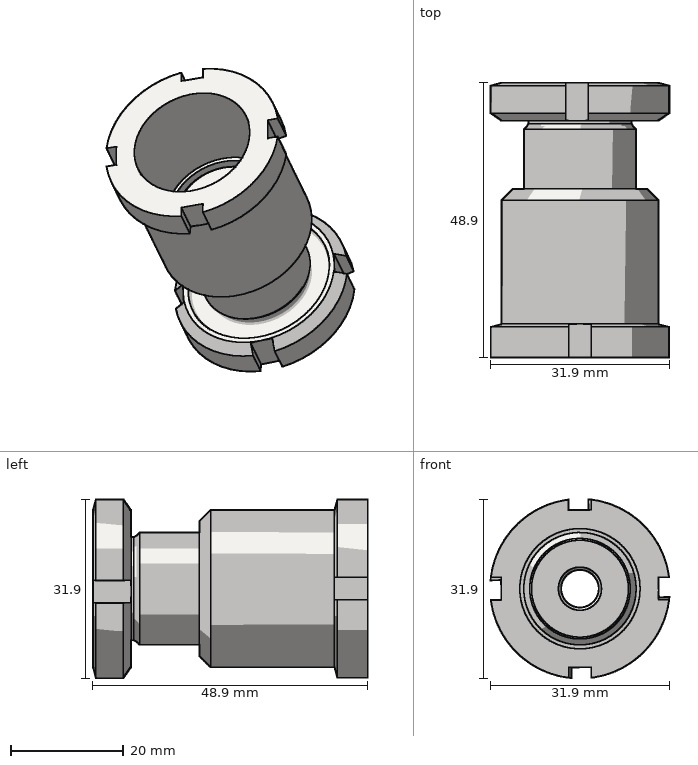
import cadquery as cq
import math


OVERALL_LENGTH = 48.91
RIM_RADIUS = 16.0
SLOT_COUNT = 4
SLOT_WIDTH = 4.0
SLOT_FLOOR_RADIUS = 14.0
SHALLOW_CHAMFER_ANGLE = 15.0
SHALLOW_CHAMFER_RISE = RIM_RADIUS - SLOT_FLOOR_RADIUS
SHALLOW_CHAMFER_RUN = SHALLOW_CHAMFER_RISE * math.tan(math.radians(SHALLOW_CHAMFER_ANGLE))

SLEEVE_LENGTH = 30.0
COLLAR_LENGTH = 6.0
BARREL_RADIUS = 14.0
BARREL_CHAMFER = 2.0
MOUTH_RADIUS = 10.7
MOUTH_DEPTH = 20.0

SHAFT_RADIUS = 10.0
SHAFT_START = MOUTH_DEPTH
PILOT_RADIUS = 8.95
PILOT_LENGTH = 1.0
PILOT_CHAMFER = 0.33
SHAFT_CHAMFER = SHAFT_RADIUS - PILOT_RADIUS
HOLE_RADIUS = 3.32
HOLE_CHAMFER = 0.52

HEAD_THICKNESS = 6.8
HEAD_FRONT = OVERALL_LENGTH - HEAD_THICKNESS
HEAD_FACE_RADIUS = 14.0
HEAD_CHAMFER_RUN = 1.4
HEAD_TURN = 2.0
RECESS_RADIUS = 13.1
RECESS_DEPTH = 1.0
RECESS_FLOOR = HEAD_FRONT + RECESS_DEPTH
RECESS_FILLET = 0.6

NECK_RADIUS = 9.2
UNDERCUT_RADIUS = 9.45
SHAFT_END = HEAD_FRONT - 1.5
UNDERCUT_START = SHAFT_END + SHAFT_RADIUS - UNDERCUT_RADIUS
NECK_START = HEAD_FRONT - 0.5


def turned(profile):
    """Revolve a closed (radius, station) profile about the Y axis."""
    return profile.close().revolve(360, (0, 0, 0), (0, 1, 0))


def rim_slots(start, length, turn=0.0):
    """Radial wrench slots, evenly spaced round the rim, as cutting blocks."""
    height = 2 * (RIM_RADIUS - SLOT_FLOOR_RADIUS)
    block = cq.Workplane("XY").box(SLOT_WIDTH, length, height, centered=(True, False, False))
    block = block.translate((0, start, SLOT_FLOOR_RADIUS))
    slots = cq.Workplane("XY")
    for index in range(SLOT_COUNT):
        angle = index * 360.0 / SLOT_COUNT - turn
        slots = slots.add(block.rotate((0, 0, 0), (0, 1, 0), angle))
    return slots.combine()


def make_sleeve():
    """Stepped sleeve: slotted collar, chamfered barrel, wide mouth and shaft bore."""
    profile = (
        cq.Workplane("XY")
        .moveTo(MOUTH_RADIUS, 0)
        .lineTo(RIM_RADIUS, 0)
        .lineTo(RIM_RADIUS, COLLAR_LENGTH - SHALLOW_CHAMFER_RUN)
        .lineTo(BARREL_RADIUS, COLLAR_LENGTH)
        .lineTo(BARREL_RADIUS, SLEEVE_LENGTH - BARREL_CHAMFER)
        .lineTo(BARREL_RADIUS - BARREL_CHAMFER, SLEEVE_LENGTH)
        .lineTo(SHAFT_RADIUS, SLEEVE_LENGTH)
        .lineTo(SHAFT_RADIUS, MOUTH_DEPTH)
        .lineTo(MOUTH_RADIUS, MOUTH_DEPTH)
    )
    return turned(profile).cut(rim_slots(0, COLLAR_LENGTH)).solids()


def make_stud():
    """Hollow stud: pilot, shaft, undercut neck and a slotted head with a recessed face."""
    pilot_end = SHAFT_START + PILOT_LENGTH
    arc_mid = RECESS_FILLET * (1 - math.sqrt(0.5))
    profile = (
        cq.Workplane("XY")
        .moveTo(HOLE_RADIUS + HOLE_CHAMFER, SHAFT_START)
        .lineTo(PILOT_RADIUS - PILOT_CHAMFER, SHAFT_START)
        .lineTo(PILOT_RADIUS, SHAFT_START + PILOT_CHAMFER)
        .lineTo(PILOT_RADIUS, pilot_end)
        .lineTo(SHAFT_RADIUS, pilot_end + SHAFT_CHAMFER)
        .lineTo(SHAFT_RADIUS, SHAFT_END)
        .lineTo(UNDERCUT_RADIUS, UNDERCUT_START)
        .lineTo(NECK_RADIUS, NECK_START)
        .lineTo(NECK_RADIUS, RECESS_FLOOR - RECESS_FILLET)
        .threePointArc(
            (NECK_RADIUS + arc_mid, RECESS_FLOOR - arc_mid),
            (NECK_RADIUS + RECESS_FILLET, RECESS_FLOOR),
        )
        .lineTo(RECESS_RADIUS - RECESS_FILLET, RECESS_FLOOR)
        .threePointArc(
            (RECESS_RADIUS - arc_mid, RECESS_FLOOR - arc_mid),
            (RECESS_RADIUS, RECESS_FLOOR - RECESS_FILLET),
        )
        .lineTo(RECESS_RADIUS, HEAD_FRONT)
        .lineTo(HEAD_FACE_RADIUS, HEAD_FRONT)
        .lineTo(RIM_RADIUS, HEAD_FRONT + HEAD_CHAMFER_RUN)
        .lineTo(RIM_RADIUS, OVERALL_LENGTH - SHALLOW_CHAMFER_RUN)
        .lineTo(RIM_RADIUS - SHALLOW_CHAMFER_RISE, OVERALL_LENGTH)
        .lineTo(HOLE_RADIUS, OVERALL_LENGTH)
        .lineTo(HOLE_RADIUS, SHAFT_START + HOLE_CHAMFER)
    )
    return turned(profile).cut(rim_slots(HEAD_FRONT, HEAD_THICKNESS, HEAD_TURN)).solids()


sleeve = make_sleeve()
stud = make_stud()
result = cq.Compound.makeCompound([sleeve.val(), stud.val()])